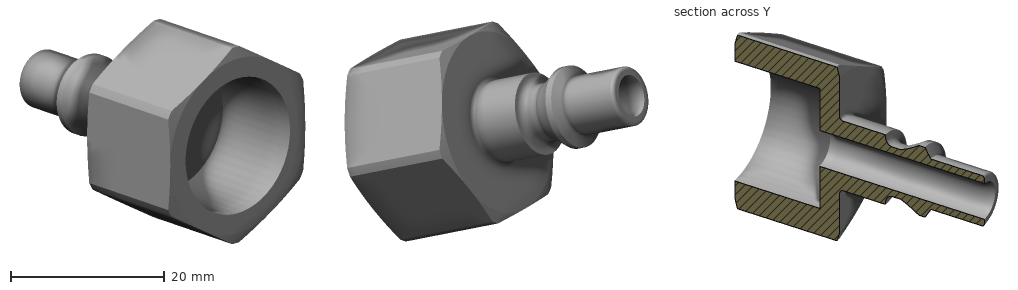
import cadquery as cq
import math

length = 38.0
tip_end = 8.17
collar_start = 9.05
collar_end = 10.0
groove_start = 12.73
groove_end = 14.0
shank_start = 15.0
hex_length = 16.0
hex_start = length - hex_length

tip_dia = 7.9
groove_dia = 7.8
shank_dia = 10.9
bore_dia = 5.5
socket_dia = 18.6
socket_depth = 12.92

across_flats = 24.0
corner_dia = 27.05
end_chamfer_angle = 15.0

tip_fillet = 0.5
shank_fillet = 0.5
flank_sag = 0.08


def x_cylinder(diameter, start, end):
    """Cylinder on the X axis between two stations."""
    return cq.Workplane("YZ", origin=(start, 0, 0)).circle(diameter / 2).extrude(end - start)


def revolve_about_x(profile):
    """Revolve a closed XY half profile around the X axis."""
    return profile.close().revolve(360, (0, 0, 0), (1, 0, 0))


def make_plug():
    tip_r = tip_dia / 2
    groove_r = groove_dia / 2
    shank_r = shank_dia / 2
    relief_radius = shank_start - groove_end
    profile = (
        cq.Workplane("XY")
        .lineTo(0, tip_r - tip_fillet)
        .radiusArc((tip_fillet, tip_r), tip_fillet)
        .lineTo(tip_end, tip_r)
        .lineTo(collar_start, shank_r)
        .lineTo(collar_end, shank_r)
        .sagittaArc((groove_start, groove_r), -flank_sag)
        .lineTo(groove_end, groove_r)
        .radiusArc((shank_start, groove_r + relief_radius), -relief_radius)
        .lineTo(shank_start, shank_r)
        .lineTo(hex_start - shank_fillet, shank_r)
        .radiusArc((hex_start, shank_r + shank_fillet), -shank_fillet)
        .lineTo(hex_start, 0)
    )
    return revolve_about_x(profile)


def make_hex():
    corner_distance = across_flats / math.cos(math.radians(30))
    prism = (
        cq.Workplane("YZ", origin=(hex_start, 0, 0))
        .polygon(6, corner_distance)
        .extrude(hex_length)
        .rotate((0, 0, 0), (1, 0, 0), 30)
    )
    face_r = across_flats / 2
    corner_r = corner_dia / 2
    chamfer_length = (corner_r - face_r) * math.tan(math.radians(end_chamfer_angle))
    envelope = (
        cq.Workplane("XY")
        .moveTo(hex_start, 0)
        .lineTo(hex_start, face_r)
        .lineTo(hex_start + chamfer_length, corner_r)
        .lineTo(length - chamfer_length, corner_r)
        .lineTo(length, face_r)
        .lineTo(length, 0)
    )
    return prism.intersect(revolve_about_x(envelope))


bore = x_cylinder(bore_dia, 0, length)
socket = x_cylinder(socket_dia, length - socket_depth, length)
result = make_plug().union(make_hex()).cut(bore).cut(socket)